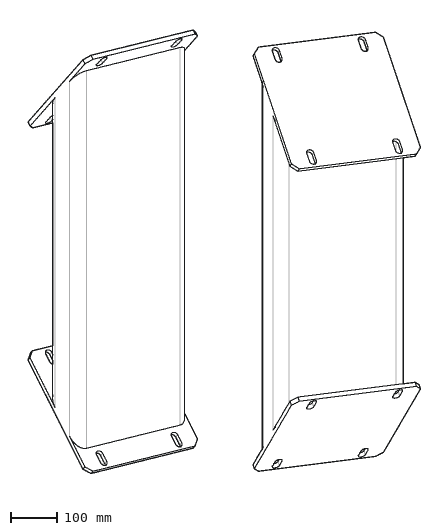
import cadquery as cq
import math

total_height = 952.0
overall_depth = 223.0
width = 305.0

plate_tilt = 45.0
plate_thickness = 10.0
tilt = math.radians(plate_tilt)
plate_length = (overall_depth - plate_thickness * math.sin(tilt)) / math.cos(tilt)
plate_rise = plate_length * math.sin(tilt) + plate_thickness * math.cos(tilt)
plate_center_z = (total_height - plate_rise) / 2
corner_chamfer = 14.0

slot_length = 36.0
slot_width = 16.0
slot_spacing_slope = 255.0
slot_spacing_y = 203.0

column_depth = 103.0
column_offset_x = 21.0
column_corner_radius = 26.0


def make_upper_plate():
    """Slotted square plate rising towards +X, centred over the origin."""
    plate = (
        cq.Workplane("XY")
        .box(plate_length, width, plate_thickness)
        .edges("|Z")
        .chamfer(corner_chamfer)
    )
    slots = (
        cq.Workplane("XY")
        .rarray(slot_spacing_slope, slot_spacing_y, 2, 2)
        .slot2D(slot_length, slot_width)
        .extrude(plate_thickness, both=True)
    )
    return (
        plate.cut(slots)
        .rotate((0, 0, 0), (0, 1, 0), -plate_tilt)
        .translate((0, 0, plate_center_z))
    )


def make_column():
    """Solid column whose ends are mitred on the plates' middle planes."""
    left = column_offset_x - column_depth / 2
    right = column_offset_x + column_depth / 2
    left_top = plate_center_z + left * math.tan(tilt)
    right_top = plate_center_z + right * math.tan(tilt)
    return (
        cq.Workplane("XZ")
        .polyline([(left, -left_top), (right, -right_top), (right, right_top), (left, left_top)])
        .close()
        .extrude(width / 2, both=True)
        .edges("|Z")
        .fillet(column_corner_radius)
    )


upper_plate = make_upper_plate()
lower_plate = upper_plate.mirror("XY")
result = make_column().union(upper_plate).union(lower_plate)